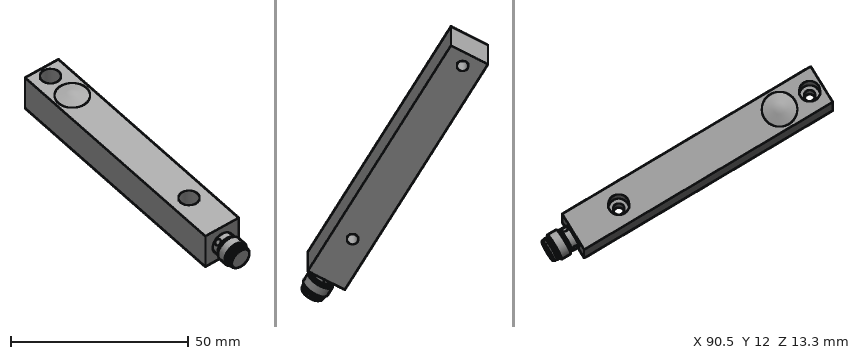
import cadquery as cq
import math

overall_length = 90.5
housing_length = 82.0
housing_side = 12.0

screw_hole_diameter = 3.3
counterbore_diameter = 6.0
counterbore_depth = housing_side / 2
first_hole_x = 4.0
hole_spacing = 63.0

cone_x = 13.9
cone_diameter = 10.05
cone_height = 1.3

plug_axis_z = housing_side / 2
plug_length = overall_length - housing_length
neck_diameter = 7.1
neck_length = 2.5
neck_chamfer = 0.2
undercut_diameter = 6.5
collar_diameter = 8.05
collar_start = 2.9
collar_end = 6.5
collar_chamfer = 0.4
lip_diameter = neck_diameter
lip_start = 7.1
lip_width = 0.4
nose_diameter = 6.8
nose_chamfer = 0.3

window_count = 3
window_diameter = 1.9
first_window_angle = 45
window_x = 1.3
window_face_radius = math.sqrt((neck_diameter / 2) ** 2 - (window_diameter / 2) ** 2)
light_core_diameter = 3.6
light_core_length = neck_length


def make_housing():
    housing = cq.Workplane("XY").box(
        housing_length, housing_side, housing_side, centered=(False, True, False)
    )
    hole_places = [(first_hole_x, 0), (first_hole_x + hole_spacing, 0)]
    return (
        housing.faces(">Z")
        .workplane(origin=(0, 0, housing_side))
        .pushPoints(hole_places)
        .cboreHole(screw_hole_diameter, counterbore_diameter, counterbore_depth)
    )


def make_sensing_cone():
    profile = [(0, 0), (cone_diameter / 2, 0), (0, cone_height)]
    cone = cq.Workplane("XZ").polyline(profile).close().revolve(360, (0, 0, 0), (0, 1, 0))
    return cone.translate((cone_x, 0, housing_side))


def make_window_rods(reach):
    """Round rods that run from the plug axis out to the given radius, one per window."""
    rod = cq.Workplane("XY").center(window_x, 0).circle(window_diameter / 2).extrude(reach)
    rods = []
    for number in range(window_count):
        angle = first_window_angle + number * 360 / window_count
        rods.append(rod.rotate((0, 0, 0), (1, 0, 0), angle))
    return rods


def make_light_guide():
    guide = cq.Workplane("YZ").circle(light_core_diameter / 2).extrude(light_core_length)
    for rod in make_window_rods(window_face_radius):
        guide = guide.union(rod)
    return guide.translate((housing_length, 0, plug_axis_z))


def make_plug(light_guide):
    neck_radius = neck_diameter / 2
    undercut_radius = undercut_diameter / 2
    collar_radius = collar_diameter / 2
    lip_radius = lip_diameter / 2
    lip_end = lip_start + lip_width
    nose_radius = nose_diameter / 2
    profile = [
        (0, 0),
        (0, neck_radius - neck_chamfer),
        (neck_chamfer, neck_radius),
        (neck_length - neck_chamfer, neck_radius),
        (neck_length, neck_radius - neck_chamfer),
        (neck_length, undercut_radius),
        (collar_start, undercut_radius),
        (collar_start, collar_radius - collar_chamfer),
        (collar_start + collar_chamfer, collar_radius),
        (collar_end - collar_chamfer, collar_radius),
        (collar_end, collar_radius - collar_chamfer),
        (collar_end, undercut_radius),
        (lip_start, undercut_radius),
        (lip_start, lip_radius),
        (lip_end, lip_radius),
        (lip_end, nose_radius),
        (plug_length - nose_chamfer, nose_radius),
        (plug_length, nose_radius - nose_chamfer),
        (plug_length, 0),
    ]
    plug = cq.Workplane("XY").polyline(profile).close().revolve(360, (0, 0, 0), (1, 0, 0))
    for bore in make_window_rods(neck_diameter):
        plug = plug.cut(bore)
    plug = plug.translate((housing_length, 0, plug_axis_z))
    return plug.cut(light_guide)


housing = make_housing()
sensing_cone = make_sensing_cone()
light_guide = make_light_guide()
plug = make_plug(light_guide)

result = cq.Compound.makeCompound(
    [housing.val(), sensing_cone.val(), light_guide.val(), plug.val()]
)